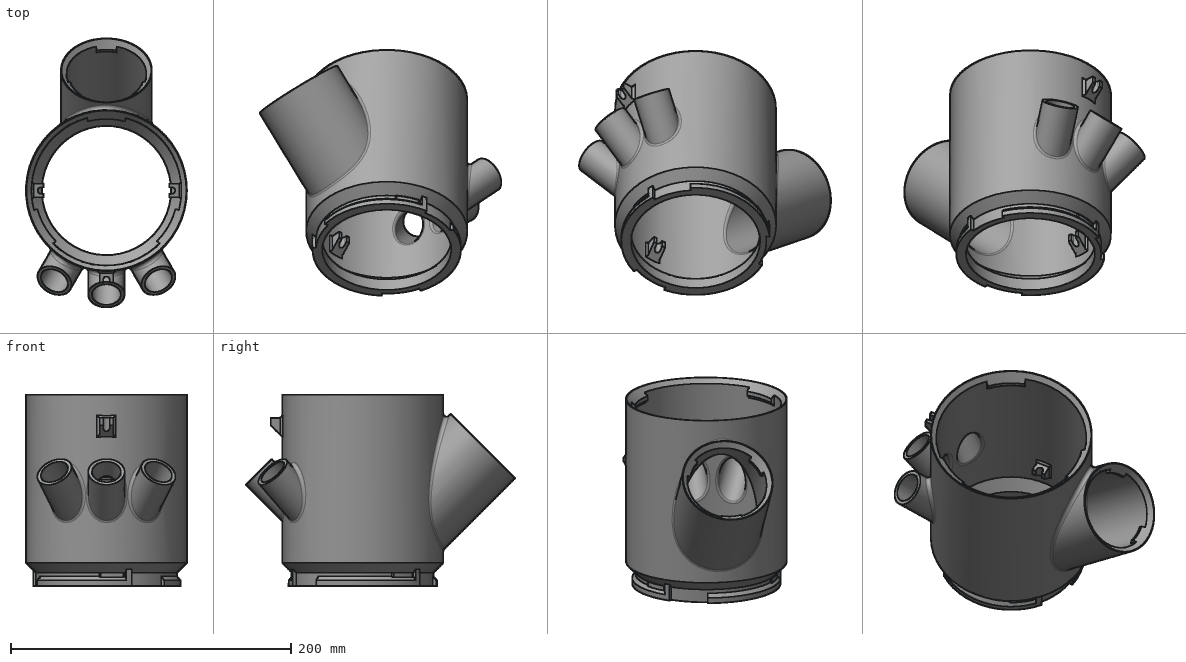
import cadquery as cq
import math

height = 136.5
body_radius = 57.5
wall = 4.0

neck_radius = 50.5
ring_bore_radius = 46.0
ring_height = 9.5
lug_radius = 53.0
lug_rim_height = 4.0
lug_height = 6.8
lug_start = 321.0
lug_sweep = 84.6
stop_sweep = 4.4
detent_radius = 51.1
detent_start = 264.0
detent_sweep = 21.0
detent_ramp_sweep = 1.5
coupling_turns = (0.0, 120.0, 240.0)

rim_land = 0.5
tab_sweep = 30.0
body_tab_depth = 2.5
body_tab_lip = 3.0
pipe_tab_depth = 2.0
pipe_tab_lip = 2.0
tab_angles = (90.0, 210.0, 330.0)

branch_rise = 45.0
pipe_radius = 32.5
pipe_angle = 90.0
pipe_root_z = 71.7
pipe_length = 39.8
nozzle_radius = 13.0
nozzle_bore_radius = 10.3
nozzle_root_z = 64.7
nozzle_length = 23.6
nozzle_angles = (240.0, 270.0, 300.0)
branch_blend = 2.2

clip_width = 9.7
clip_nose_height = 5.3
clip_flare = 1.5
clip_slot_radius = 2.3
clip_slot_depth = 4.3
outer_clip_angle = 270.0
outer_clip_reach = 8.2
outer_clip_top_z = 120.0
inner_clip_angles = (0.0, 180.0)
inner_clip_reach = 8.8
inner_clip_top_z = 40.0

body_bore_radius = body_radius - wall
pipe_bore_radius = pipe_radius - wall
pipe_inset = 1.5 * pipe_radius
nozzle_inset = 2 * nozzle_radius
body_base_z = ring_height + body_radius - neck_radius
bore_base_z = ring_height + body_bore_radius - ring_bore_radius
overlap = 1.0


def sector(outline, start, sweep):
    """Revolve an (r, z) outline about Z, from a start angle through a sweep."""
    profile = cq.Workplane("XZ").polyline(outline).close()
    turned = profile.revolve(sweep, (0, 0), (0, 1))
    return turned.rotate((0, 0, 0), (0, 0, 1), start)


def branch_plane(angle, root_z, distance):
    """Plane across a branch axis, at a distance along it from the body's outer surface."""
    rise = math.radians(branch_rise)
    turn = math.radians(angle)
    radius = body_radius + distance * math.cos(rise)
    origin = (radius * math.cos(turn), radius * math.sin(turn), root_z + distance * math.sin(rise))
    normal = (math.cos(rise) * math.cos(turn), math.cos(rise) * math.sin(turn), math.sin(rise))
    across = (math.sin(turn), -math.cos(turn), 0)
    return cq.Plane(origin=origin, xDir=across, normal=normal)


def branch_rod(angle, root_z, length, radius, inset):
    """Solid rod along a branch axis, from inside the body to the branch mouth."""
    plane = branch_plane(angle, root_z, -inset)
    return cq.Workplane(plane).circle(radius).extrude(inset + length)


def tabbed_bore(lower_outline, bore_radius, mouth_radius, tab_depth, tab_lip):
    """Bore up to a mouth at Z = 0, less the retaining tabs, which run on up past the mouth.

    The lower outline lists the (r, z) points from the axis up to the bore wall.
    """
    bore = sector(lower_outline + [(bore_radius, overlap), (0, overlap)], 0, 360)
    inner_radius = bore_radius - tab_depth
    root_radius = bore_radius + overlap
    lip_bottom = inner_radius - mouth_radius - tab_lip
    tab = [
        (inner_radius, 2 * overlap),
        (inner_radius, lip_bottom),
        (root_radius, lip_bottom - (root_radius - inner_radius)),
        (root_radius, 2 * overlap),
    ]
    for angle in tab_angles:
        bore = bore.cut(sector(tab, angle - tab_sweep / 2, tab_sweep))
    return bore


def mouth_cone(mouth_radius):
    """45 degree entry cone below a mouth at Z = 0; it also bevels the tops of the tabs."""
    outline = [(0, -mouth_radius), (mouth_radius, 0), (mouth_radius, overlap), (0, overlap)]
    return sector(outline, 0, 360)


def make_shell():
    """Outer body with its solid branches, blended where they join."""
    shell = cq.Workplane("XY", origin=(0, 0, body_base_z)).circle(body_radius).extrude(height - body_base_z)
    shell = shell.union(branch_rod(pipe_angle, pipe_root_z, pipe_length, pipe_radius, pipe_radius))
    for angle in nozzle_angles:
        nozzle = branch_rod(angle, nozzle_root_z, nozzle_length, nozzle_radius, nozzle_inset)
        shell = shell.union(nozzle)
    return shell.edges("not(%CIRCLE or %LINE)").fillet(branch_blend)


def polar_point(radius, angle):
    """Plan position at a radius and an angle in degrees from +X."""
    turn = math.radians(angle)
    return (radius * math.cos(turn), radius * math.sin(turn))


def make_detent():
    """Low pad on the neck with a ramp at each end, resting on a lug."""
    root = neck_radius - overlap
    end = detent_start + detent_sweep
    middle = detent_start + detent_sweep / 2
    pad = (
        cq.Workplane("XY", origin=(0, 0, lug_rim_height))
        .moveTo(*polar_point(root, detent_start))
        .lineTo(*polar_point(neck_radius, detent_start))
        .lineTo(*polar_point(detent_radius, detent_start + detent_ramp_sweep))
        .threePointArc(
            polar_point(detent_radius, middle),
            polar_point(detent_radius, end - detent_ramp_sweep),
        )
        .lineTo(*polar_point(neck_radius, end))
        .lineTo(*polar_point(root, end))
        .threePointArc(polar_point(root, middle), polar_point(root, detent_start))
        .close()
    )
    return pad.extrude(ring_height - lug_rim_height)


def make_coupling():
    """Neck, bayonet lugs, stops and detents below the body."""
    neck = [
        (0, 0),
        (neck_radius, 0),
        (neck_radius, ring_height),
        (body_radius, body_base_z),
        (0, body_base_z),
    ]
    coupling = sector(neck, 0, 360)
    root = neck_radius - overlap
    lug = [
        (root, 0),
        (lug_radius, 0),
        (lug_radius, lug_rim_height),
        (neck_radius, lug_height),
        (root, lug_height),
    ]
    stop_top = ring_height + lug_radius - neck_radius
    stop = [(root, 0), (lug_radius, 0), (lug_radius, stop_top), (root, stop_top)]
    for turn in coupling_turns:
        coupling = coupling.union(sector(lug, lug_start + turn, lug_sweep))
        coupling = coupling.union(sector(stop, lug_start + lug_sweep + turn, stop_sweep))
        coupling = coupling.union(make_detent().rotate((0, 0, 0), (0, 0, 1), turn))
    return coupling


def cut_body_bore(solid):
    """Hollow the body, narrowing through a cone to the coupling ring."""
    lower_outline = [
        (0, -overlap - height),
        (ring_bore_radius, -overlap - height),
        (ring_bore_radius, ring_height - height),
        (body_bore_radius, bore_base_z - height),
    ]
    mouth_radius = body_radius - rim_land
    bore = tabbed_bore(lower_outline, body_bore_radius, mouth_radius, body_tab_depth, body_tab_lip)
    for space in (bore, mouth_cone(mouth_radius)):
        solid = solid.cut(space.translate((0, 0, height)))
    return solid


def cut_pipe_bore(solid):
    """Hollow the large pipe through the body wall."""
    bottom = -(pipe_length + pipe_inset)
    mouth_radius = pipe_radius - rim_land
    lower_outline = [(0, bottom), (pipe_bore_radius, bottom)]
    bore = tabbed_bore(lower_outline, pipe_bore_radius, mouth_radius, pipe_tab_depth, pipe_tab_lip)
    placement = cq.Location(branch_plane(pipe_angle, pipe_root_z, pipe_length))
    for space in (bore, mouth_cone(mouth_radius)):
        solid = solid.cut(cq.Workplane(space.val().moved(placement)))
    return solid


def cut_nozzle_bores(solid):
    """Drill each nozzle through the body wall."""
    for angle in nozzle_angles:
        bore = branch_rod(angle, nozzle_root_z, nozzle_length, nozzle_bore_radius, nozzle_inset)
        solid = solid.cut(bore)
    return solid


def round_bore_edges(solid):
    """Round the edges where the branch bores open into the body."""
    reach = body_bore_radius + overlap / 2
    curved = solid.edges("not(%CIRCLE or %LINE)")
    inside = cq.selectors.BoxSelector(
        (-reach, -reach, body_base_z), (reach, reach, height - body_tab_depth), boundingbox=True
    )
    return curved.edges(inside).fillet(branch_blend)


def make_clip(reach):
    """Slotted hook clip pointing along +X from a wall at X = 0, with its flat top at Z = 0.

    The sides and top flare out at 45 degrees into the wall; the underside slopes at 45 degrees.
    """
    half_width = clip_width / 2
    root_half_width = half_width + clip_flare + overlap
    plan = [
        (-overlap, -root_half_width),
        (clip_flare, -half_width),
        (reach, -half_width),
        (reach, half_width),
        (clip_flare, half_width),
        (-overlap, root_half_width),
    ]
    side = [
        (-overlap, clip_flare + overlap),
        (clip_flare, 0),
        (reach, 0),
        (reach, -clip_nose_height),
        (-overlap, -clip_nose_height - reach - overlap),
    ]
    half_height = clip_nose_height + reach + 2 * overlap
    clip = cq.Workplane("XY").polyline(plan).close().extrude(half_height, both=True)
    clip = clip.intersect(cq.Workplane("XZ").polyline(side).close().extrude(root_half_width, both=True))

    slot_end = reach - clip_slot_depth
    slot_center = slot_end + clip_slot_radius
    slot = (
        cq.Workplane("XY")
        .moveTo(reach + overlap, -clip_slot_radius)
        .lineTo(slot_center, -clip_slot_radius)
        .threePointArc((slot_end, 0), (slot_center, clip_slot_radius))
        .lineTo(reach + overlap, clip_slot_radius)
        .close()
        .extrude(half_height, both=True)
    )
    return clip.cut(slot)


def add_outer_clip(solid):
    """Clip on the outside of the body, above the middle nozzle."""
    clip = make_clip(outer_clip_reach).translate((body_radius, 0, outer_clip_top_z))
    return solid.union(clip.rotate((0, 0, 0), (0, 0, 1), outer_clip_angle))


def add_inner_clips(solid):
    """Facing pair of clips on the inside of the body."""
    for angle in inner_clip_angles:
        clip = make_clip(inner_clip_reach).translate((-body_bore_radius, 0, inner_clip_top_z))
        solid = solid.union(clip.rotate((0, 0, 0), (0, 0, 1), angle))
    return solid


result = make_shell().union(make_coupling())
result = cut_body_bore(result)
result = cut_pipe_bore(result)
result = cut_nozzle_bores(result)
result = round_bore_edges(result)
result = add_outer_clip(result)
result = add_inner_clips(result)